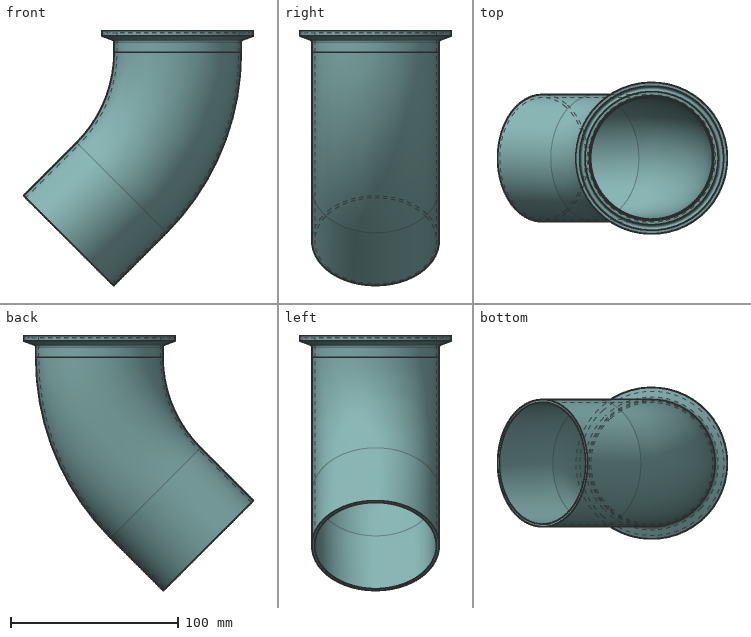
import cadquery as cq
import math

tube_radius = 38.1
wall = 1.7
bore_radius = tube_radius - wall
bend_radius = 114.3
bend_angle = 45.0
tail_length = 44.8

ferrule_height = 13.0
flange_diameter = 90.7
flange_radius = flange_diameter / 2
rim_height = 3.2
cone_slope = 20.0
neck_fillet = 1.4
lip_chamfer = 0.9

groove_radius = 41.5
groove_width = 3.4
groove_depth = 1.4
groove_floor_width = 2.1
groove_side_depth = 0.8


def make_ferrule():
    """Revolved clamp ferrule standing on the XY plane, sealing face upward."""
    rim_bottom = ferrule_height - rim_height
    cone_bottom = rim_bottom - (flange_radius - tube_radius) * math.tan(math.radians(cone_slope))

    tangent_length = neck_fillet * math.tan(math.radians((90 - cone_slope) / 2))
    fillet_center = (tube_radius + neck_fillet, cone_bottom - tangent_length)
    fillet_start = (tube_radius, fillet_center[1])
    end_angle = math.radians(90 + cone_slope)
    middle_angle = (math.pi + end_angle) / 2

    def fillet_point(angle):
        return (
            fillet_center[0] + neck_fillet * math.cos(angle),
            fillet_center[1] + neck_fillet * math.sin(angle),
        )

    body = (
        cq.Workplane("XZ")
        .moveTo(bore_radius, 0)
        .lineTo(tube_radius, 0)
        .lineTo(*fillet_start)
        .threePointArc(fillet_point(middle_angle), fillet_point(end_angle))
        .lineTo(flange_radius, rim_bottom)
        .lineTo(flange_radius, ferrule_height)
        .lineTo(bore_radius + lip_chamfer, ferrule_height)
        .lineTo(bore_radius, ferrule_height - lip_chamfer)
        .close()
        .revolve(360, (0, 0, 0), (0, 1, 0))
    )
    return body.cut(make_groove())


def make_groove():
    """Ring with sloping sides and a circular-arc bottom, removed from the sealing face."""
    floor_edge = ferrule_height - groove_side_depth
    return (
        cq.Workplane("XZ")
        .moveTo(groove_radius - groove_width / 2, ferrule_height)
        .lineTo(groove_radius - groove_floor_width / 2, floor_edge)
        .threePointArc(
            (groove_radius, ferrule_height - groove_depth),
            (groove_radius + groove_floor_width / 2, floor_edge),
        )
        .lineTo(groove_radius + groove_width / 2, ferrule_height)
        .close()
        .revolve(360, (0, 0, 0), (0, 1, 0))
    )


def make_elbow():
    """Tube bent downward and toward -X from the ferrule, with a straight tail."""
    angle = math.radians(bend_angle)
    bend_middle = (bend_radius * (math.cos(angle / 2) - 1), -bend_radius * math.sin(angle / 2))
    bend_end = (bend_radius * (math.cos(angle) - 1), -bend_radius * math.sin(angle))
    tail_end = (
        bend_end[0] - tail_length * math.sin(angle),
        bend_end[1] - tail_length * math.cos(angle),
    )
    path = cq.Workplane("XZ").threePointArc(bend_middle, bend_end).lineTo(*tail_end)
    return cq.Workplane("XY").circle(tube_radius).circle(bore_radius).sweep(path)


ferrule = make_ferrule()
elbow = make_elbow()

result = cq.Compound.makeCompound([ferrule.val(), elbow.val()])